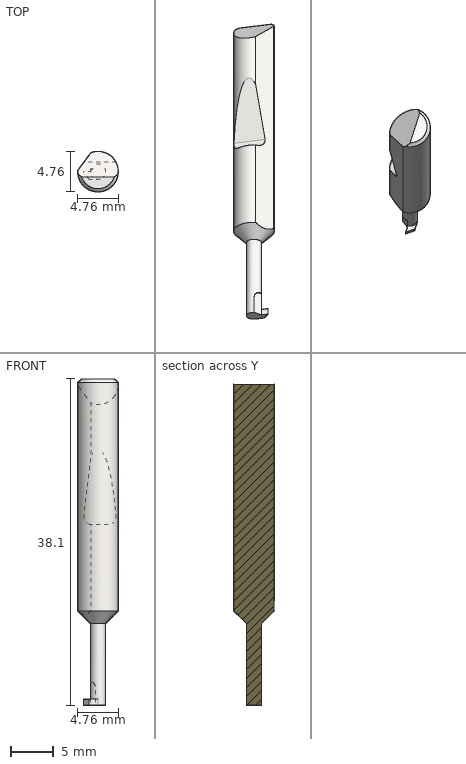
import cadquery as cq
import math

total_length = 38.1
shank_radius = 2.38
shank_bottom = 11.0
neck_radius = 0.895
top_chamfer = 0.4
flat_start_angle = 177.0
flat_end_angle = 110.0
flat_normal_angle = (flat_start_angle + flat_end_angle) / 2
top_bevel_y = -0.6
tool_width = 4 * shank_radius

notch_top = 29.87
notch_floor_y = 1.1
notch_corner_z = 22.25
notch_bottom = 21.1
notch_radius = notch_corner_z - notch_bottom

tip_height = 0.72
tip_reach = 1.7
tip_front_reach = 1.03
relief_top = 2.75
relief_corner_radius = 0.75


def make_body():
    """Revolved shank, 45-degree cone and neck."""
    cone_bottom = shank_bottom - (shank_radius - neck_radius)
    profile = [
        (0, 0),
        (neck_radius, 0),
        (neck_radius, cone_bottom),
        (shank_radius, shank_bottom),
        (shank_radius, total_length - top_chamfer),
        (shank_radius - top_chamfer, total_length),
        (0, total_length),
    ]
    return cq.Workplane("XZ").polyline(profile).close().revolve(360, (0, 0, 0), (0, 1, 0))


def make_side_flat():
    """Block outside the chord on the (-X, +Y) side of the shank."""
    half_span = (flat_start_angle - flat_end_angle) / 2
    flat_distance = shank_radius * math.cos(math.radians(half_span))
    block = cq.Workplane("XY").box(
        shank_radius, tool_width, total_length, centered=(False, True, False)
    )
    return block.translate((flat_distance, 0, 0)).rotate((0, 0, 0), (0, 0, 1), flat_normal_angle)


def through_x(outline):
    """Extrude a YZ outline through the full width of the shank."""
    return outline.close().extrude(tool_width / 2, both=True)


def make_top_bevel():
    """45-degree wedge over the back of the upper end."""
    run = 2 * shank_radius
    corners = [
        (top_bevel_y, total_length),
        (top_bevel_y + run, total_length),
        (top_bevel_y + run, total_length - run),
    ]
    return through_x(cq.Workplane("YZ").polyline(corners))


def make_notch():
    """Sloping notch with a rounded lower corner."""
    arc_centre_y = notch_floor_y + notch_radius
    arc_mid_offset = notch_radius * math.sqrt(0.5)
    outline = (
        cq.Workplane("YZ")
        .moveTo(shank_radius, notch_top)
        .lineTo(notch_floor_y, notch_corner_z)
        .threePointArc(
            (arc_centre_y - arc_mid_offset, notch_corner_z - arc_mid_offset),
            (arc_centre_y, notch_bottom),
        )
        .lineTo(tool_width, notch_bottom)
        .lineTo(tool_width, notch_top)
    )
    return through_x(outline)


def make_tip():
    """Hook projecting to -X, with its cutting face on the Y = 0 plane."""
    outline = [
        (0, 0),
        (-tip_reach, 0),
        (-tip_front_reach, -neck_radius),
        (0, -neck_radius),
    ]
    return cq.Workplane("XY").polyline(outline).close().extrude(tip_height)


def make_tip_relief():
    """Flat behind the cutting edge, parallel to the side flat, with a rounded upper back corner."""
    half_span = 180 - flat_normal_angle
    face_distance = neck_radius * math.cos(math.radians(half_span))
    block = (
        cq.Workplane("XY")
        .box(neck_radius, 2 * neck_radius * math.sin(math.radians(half_span)), relief_top,
             centered=(False, True, False))
        .edges("|X and >Z and <Y")
        .fillet(relief_corner_radius)
    )
    return block.translate((face_distance, 0, 0)).rotate((0, 0, 0), (0, 0, 1), flat_normal_angle)


result = (
    make_body()
    .cut(make_side_flat())
    .cut(make_top_bevel())
    .cut(make_notch())
    .cut(make_tip_relief())
    .union(make_tip())
)